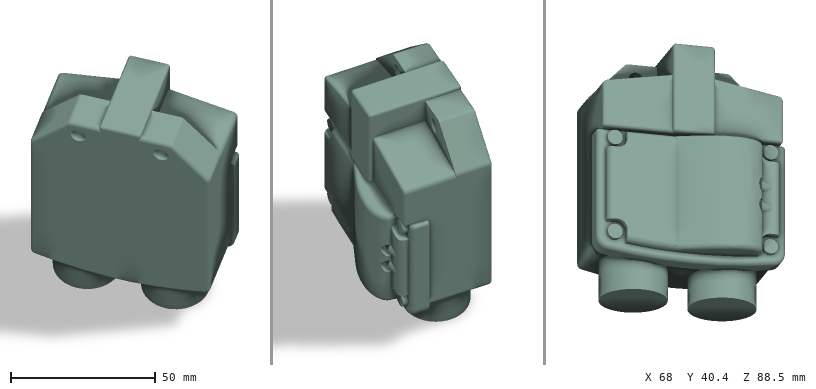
import cadquery as cq
import math


body_half_width = 32.5
body_top = 87.0
body_bottom = 11.0
body_bottom_radius = 134.0
body_corner_radius = 2.0
top_chamfer = 14.0
front_layer_depth = 14.0
body_depth = 34.0
front_edge_radius = 1.25
roof_edge_height = 73.0
roof_slope = math.radians(10)
rear_edge_radius = 1.0
cover_line = 56.0
rear_edge_start = 27.0

tab_width = 15.0
tab_depth = 35.5
tab_top = 88.5
tab_edge_radius = 1.0

mount_hole_diameter = 5.4
mount_hole_spacing = 30.0
mount_hole_height = 81.5
spigot_radius = 12.0
spigot_spacing = 32.0
spigot_y = front_layer_depth
spigot_top = 28.0

cover_half_width = 34.0
cover_front = 25.0
cover_rear = 31.5
cover_bottom = 9.7
cover_bottom_radius = 200.0
cover_corner_radius = 4.6
cover_edge_radius = 1.5
cover_top_radius = 1.0
cover_wall = 1.0
cover_floor = 1.5

panel_half_width = 31.0
panel_rear = 35.0
panel_top = 54.75
panel_bottom = 12.8
panel_edge_radius = 2.0
panel_root_radius = 0.45
panel_corner_radius = 3.0

screw_radius = 2.65
screw_x = 28.0
screw_heights = (17.7, 52.35)
screw_rear = 33.5
notch_reach = 4.0
notch_size = 12.0
notch_corner_radius = 3.5

handle_left = -24.4
handle_crest_x = -14.0
handle_crest = 40.4
handle_arc_radius = 33.5
handle_arc_angle = math.radians(21)
handle_edge_radius = 1.5

port_radius = 2.7
port_mouth_x = -23.5
port_mouth_y = 35.6
port_slant = 20.0
port_depth = 9.0
port_heights = (31.3, 38.9)
pin_start_x = -28.0
pin_slant = 17.0
pin_length = 4.0

selection_margin = 0.1


def underside_height(bottom, radius, x):
    """Height at x of an arc whose lowest point is at (0, bottom)."""
    return bottom + radius - math.sqrt(radius**2 - x**2)


def curved_slab(half_width, bottom, radius, top, front, rear):
    """Flat-topped slab along Y with a curved underside."""
    corner = underside_height(bottom, radius, half_width)
    return (
        cq.Workplane("XZ", origin=(0, rear, 0))
        .moveTo(-half_width, top)
        .lineTo(-half_width, corner)
        .threePointArc((0, bottom), (half_width, corner))
        .lineTo(half_width, top)
        .close()
        .extrude(rear - front)
    )


def block(half_width, front, rear, low, high):
    size = (2 * half_width, rear - front, high - low)
    return cq.Workplane("XY", origin=(0, front, low)).box(*size, centered=(True, False, False))


def rod_along_y(x, z, radius, front, rear):
    return cq.Workplane("XZ", origin=(x, rear, z)).circle(radius).extrude(rear - front)


def housing_front():
    layer = curved_slab(
        body_half_width, body_bottom, body_bottom_radius, body_top, 0, front_layer_depth
    )
    layer = layer.edges("|Y").edges(">Z").chamfer(top_chamfer)
    layer = layer.edges("|Y").fillet(body_corner_radius)
    return layer.faces("<Y").edges().fillet(front_edge_radius)


def housing_rear_lower():
    rear = cover_rear - cover_floor
    lower = curved_slab(
        body_half_width, body_bottom, body_bottom_radius, cover_line, front_layer_depth, rear
    )
    return lower.edges("|Y").edges("<Z").fillet(body_corner_radius)


def housing_rear_upper():
    ridge = roof_edge_height + body_half_width * math.tan(roof_slope)
    upper = (
        cq.Workplane("XZ", origin=(0, body_depth, 0))
        .moveTo(-body_half_width, cover_line)
        .lineTo(-body_half_width, roof_edge_height)
        .lineTo(0, ridge)
        .lineTo(body_half_width, roof_edge_height)
        .lineTo(body_half_width, cover_line)
        .close()
        .extrude(body_depth - front_layer_depth)
    )
    eaves = cq.selectors.BoxSelector(
        (-cover_half_width, 0, cover_line + selection_margin),
        (cover_half_width, body_depth, roof_edge_height + selection_margin),
    )
    upper = upper.edges("|Y").edges(eaves).fillet(body_corner_radius)
    upper = upper.faces(">Y").edges().fillet(rear_edge_radius)
    rounded_foot = block(
        body_half_width, rear_edge_start, body_depth, cover_line, cover_line + 2 * rear_edge_radius
    )
    foot_core = rounded_foot.edges("|Y").edges("<Z").fillet(rear_edge_radius)
    return upper.cut(rounded_foot.cut(foot_core))


def tab():
    bar = block(tab_width / 2, 0, tab_depth, cover_line, tab_top)
    return bar.edges().fillet(tab_edge_radius)


def cover():
    shell = curved_slab(
        cover_half_width, cover_bottom, cover_bottom_radius, cover_line, cover_front, cover_rear
    )
    shell = shell.edges("|Y").edges("<Z").fillet(cover_corner_radius)
    shell = shell.edges("|Y").edges(">Z").fillet(cover_top_radius)
    shell = shell.faces(">Y").edges().fillet(cover_edge_radius)
    cavity = curved_slab(
        cover_half_width - cover_wall,
        cover_bottom + cover_wall,
        cover_bottom_radius - cover_wall,
        cover_line - cover_wall,
        cover_front,
        cover_rear - cover_floor,
    )
    cavity = cavity.edges("|Y").edges("<Z").fillet(cover_corner_radius - cover_wall)
    return shell.cut(cavity)


def corner_notch(side_x, side_z, z):
    """Cutter that opens the panel outward around the screw at (side_x * screw_x, z)."""
    offset = notch_size / 2 - notch_reach
    notch = (
        cq.Workplane("XZ", origin=(side_x * screw_x, panel_rear, z))
        .center(side_x * offset, side_z * offset)
        .rect(notch_size, notch_size)
        .extrude(panel_rear - cover_rear)
    )
    return notch.edges("|Y").fillet(notch_corner_radius)


def panel():
    plate = curved_slab(
        panel_half_width,
        panel_bottom,
        cover_bottom_radius,
        panel_top,
        cover_rear - cover_floor,
        panel_rear,
    )
    plate = plate.edges("|Y").fillet(panel_corner_radius)
    plate = plate.faces(">Y").edges().fillet(panel_edge_radius)
    for side_x in (-1, 1):
        for side_z, z in zip((-1, 1), screw_heights):
            plate = plate.cut(corner_notch(side_x, side_z, z))
    return plate


def covered_panel():
    """Cover with the panel on it, the panel sides rounded into the cover."""
    joined = cover().union(panel())
    reach_x = panel_half_width + selection_margin
    low = screw_heights[0] + notch_reach - selection_margin
    high = screw_heights[1] - notch_reach + selection_margin
    root = cq.selectors.BoxSelector(
        (-reach_x, cover_rear - selection_margin, low), (reach_x, cover_rear + selection_margin, high)
    )
    joined = joined.edges("|Z").edges(root).fillet(panel_root_radius)
    for x in (-screw_x, screw_x):
        for z in screw_heights:
            joined = joined.union(rod_along_y(x, z, screw_radius, cover_rear - cover_floor, screw_rear))
    return joined


def handle():
    rise = handle_crest - panel_rear
    arc_end_x = handle_crest_x + handle_arc_radius * math.sin(handle_arc_angle)
    arc_end_y = handle_crest - handle_arc_radius * (1 - math.cos(handle_arc_angle))
    half_angle = handle_arc_angle / 2
    arc_mid_x = handle_crest_x + handle_arc_radius * math.sin(half_angle)
    arc_mid_y = handle_crest - handle_arc_radius * (1 - math.cos(half_angle))
    right_end = arc_end_x + (arc_end_y - panel_rear) / math.tan(handle_arc_angle)
    profile = (
        cq.Workplane("XY")
        .moveTo(handle_left, panel_rear)
        .ellipseArc(handle_crest_x - handle_left, rise, 90, 180, startAtCurrent=True, sense=-1)
        .threePointArc((arc_mid_x, arc_mid_y), (arc_end_x, arc_end_y))
        .lineTo(right_end, panel_rear)
        .lineTo(right_end, cover_rear)
        .lineTo(handle_left, cover_rear)
        .close()
        .extrude(panel_top)
    )
    bound = curved_slab(
        panel_half_width, panel_bottom, cover_bottom_radius, panel_top, cover_rear, handle_crest
    )
    body = profile.intersect(bound)
    above_panel = cq.selectors.BoxSelector(
        (handle_left - selection_margin, panel_rear, 0),
        (right_end, handle_crest + selection_margin, cover_line),
    )
    body = body.faces(">Z").edges(above_panel).fillet(handle_edge_radius)
    return body.faces("<Z").edges(above_panel).fillet(handle_edge_radius)


def slanted_rod(x, y, z, radius, slant, length):
    """Rod from (x, y, z) toward +X, turned by slant degrees toward +Y."""
    rod = cq.Workplane("YZ").circle(radius).extrude(length)
    return rod.rotate((0, 0, 0), (0, 0, 1), slant).translate((x, y, z))


def port(z):
    angle = math.radians(port_slant)
    start_x = port_mouth_x - port_radius * math.cos(angle)
    start_y = port_mouth_y + port_radius * math.sin(angle)
    bore = slanted_rod(start_x, start_y, z, port_radius, -port_slant, port_depth + port_radius)
    above_panel = block(cover_half_width, panel_rear, handle_crest, 0, cover_line)
    return bore.intersect(above_panel)


def pin(z):
    angle = math.radians(pin_slant)
    axis_x = pin_start_x + port_radius * math.sin(angle)
    axis_y = panel_rear - port_radius * math.cos(angle)
    return slanted_rod(axis_x, axis_y, z, port_radius, pin_slant, pin_length)


def ported_handle():
    grip = handle()
    for z in port_heights:
        grip = grip.cut(port(z)).union(pin(z))
    return grip


def mount_hole(side):
    x = side * mount_hole_spacing / 2
    return rod_along_y(x, mount_hole_height, mount_hole_diameter / 2, 0, front_layer_depth)


def spigot(side):
    base = cq.Workplane("XY").center(side * spigot_spacing / 2, spigot_y)
    return base.circle(spigot_radius).extrude(spigot_top)


result = housing_front().union(housing_rear_lower()).union(housing_rear_upper()).union(tab())
for side in (-1, 1):
    result = result.cut(mount_hole(side)).union(spigot(side))
result = result.union(covered_panel()).union(ported_handle())